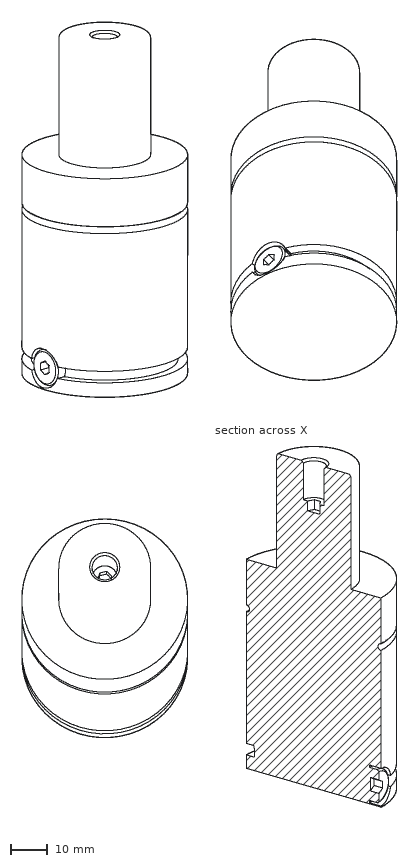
import cadquery as cq
import math

total_height = 96.0
body_diameter = 45.0
body_radius = body_diameter / 2
body_height = 62.0

rod_radius = 12.5
rod_edge_radius = 1.0

collar_groove_radius = 1.0
collar_groove_height = 47.4

base_groove_radius = 20.0
base_groove_bottom = 4.1
base_groove_top = 7.4

rod_hole_diameter = 6.8
rod_hole_chamfer = 0.7
rod_hole_depth = 11.5

counterbore_diameter = 11.0
counterbore_radius = counterbore_diameter / 2
counterbore_floor = 18.7
plug_radius = 5.0
plug_chamfer = 0.53
plug_height = 6.0
plug_face = math.sqrt(body_radius**2 - counterbore_radius**2)

socket_flats = 3.4
socket_corners = socket_flats / math.cos(math.pi / 6)
socket_depth = 2.9


def body_and_rod():
    body = cq.Workplane("XY").circle(body_radius).extrude(body_height)
    rod = cq.Workplane("XY").circle(rod_radius).extrude(total_height)
    return body.union(rod.faces(">Z").edges().fillet(rod_edge_radius))


def collar_groove():
    return (
        cq.Workplane("XZ")
        .center(body_radius, collar_groove_height)
        .circle(collar_groove_radius)
        .revolve(360, (-body_radius, 0), (-body_radius, 1))
    )


def base_groove():
    return (
        cq.Workplane("XY", origin=(0, 0, base_groove_bottom))
        .circle(body_radius)
        .circle(base_groove_radius)
        .extrude(base_groove_top - base_groove_bottom)
    )


def hexagon_socket(plane):
    """Hexagonal pocket going inward from the plane, with a corner along its local Y."""
    return (
        cq.Workplane(plane)
        .transformed(rotate=(0, 0, 90))
        .polygon(6, socket_corners)
        .extrude(-socket_depth)
    )


def rod_end_hole():
    hole = (
        cq.Workplane("XY", origin=(0, 0, total_height))
        .circle(rod_hole_diameter / 2)
        .extrude(-rod_hole_depth)
    )
    countersink = cq.Workplane("XY").add(
        cq.Solid.makeCone(
            rod_hole_diameter / 2,
            rod_hole_diameter / 2 + rod_hole_chamfer,
            rod_hole_chamfer,
            cq.Vector(0, 0, total_height - rod_hole_chamfer),
        )
    )
    floor = cq.Plane.XY(origin=(0, 0, total_height - rod_hole_depth))
    return hole.union(countersink).union(hexagon_socket(floor))


def plug_counterbore():
    return (
        cq.Workplane("XZ", origin=(0, -counterbore_floor, plug_height))
        .circle(counterbore_radius)
        .extrude(body_radius - counterbore_floor)
    )


def charging_plug():
    plug = (
        cq.Workplane("XZ", origin=(0, -counterbore_floor, plug_height))
        .circle(plug_radius)
        .extrude(plug_face - counterbore_floor)
        .faces("<Y")
        .chamfer(plug_chamfer)
    )
    face = cq.Plane.XZ(origin=(0, -plug_face, plug_height))
    return plug.cut(hexagon_socket(face))


result = (
    body_and_rod()
    .cut(collar_groove())
    .cut(base_groove())
    .cut(rod_end_hole())
    .cut(plug_counterbore())
    .union(charging_plug())
)